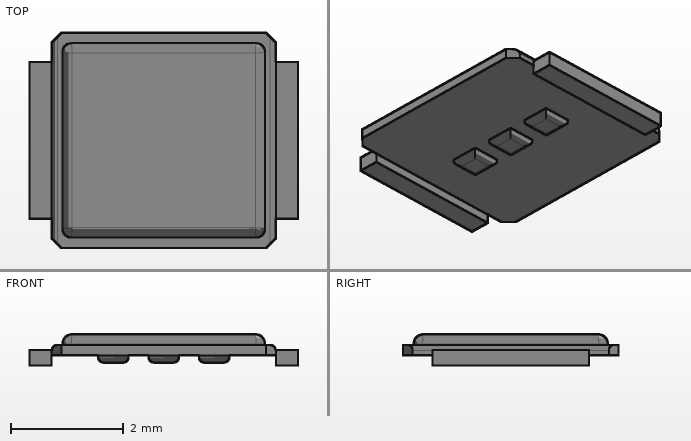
import cadquery as cq

PLATE_LENGTH = 4.0
PLATE_WIDTH = 3.85
PLATE_THICKNESS = 0.19
PLATE_BOTTOM = 0.18
PLATE_CORNER_CUT = 0.175
PLATE_EDGE_RADIUS = 0.1

COVER_MARGIN = 0.19
COVER_HEIGHT = 0.19
COVER_CORNER_RADIUS = 0.16
COVER_TOP_RADIUS = 0.175

TERMINAL_LENGTH = 0.4
TERMINAL_WIDTH = 2.8
TERMINAL_HEIGHT = 0.28

PAD_COUNT = 3
PAD_PITCH = 0.9
PAD_SIZE = 0.55
PAD_HEIGHT = 0.13
PAD_EDGE_RADIUS = 0.11

PLATE_TOP = PLATE_BOTTOM + PLATE_THICKNESS


def block(length, width, height, bottom):
    """Box centred on the Z axis, standing on the level `bottom`."""
    return (
        cq.Workplane("XY")
        .workplane(offset=bottom)
        .box(length, width, height, centered=(True, True, False))
    )


def make_plate():
    """Plate with cut corners and rounded upper edges at its two X ends."""
    plate = block(PLATE_LENGTH, PLATE_WIDTH, PLATE_THICKNESS, PLATE_BOTTOM)
    plate = plate.edges("|Z").chamfer(PLATE_CORNER_CUT)
    rounded_profile = (
        block(PLATE_LENGTH, PLATE_WIDTH, PLATE_THICKNESS, PLATE_BOTTOM)
        .edges("|Y and >Z")
        .fillet(PLATE_EDGE_RADIUS)
    )
    return plate.intersect(rounded_profile)


def make_cover():
    """Raised cover with rounded corners and a rounded top edge."""
    length = PLATE_LENGTH - 2 * COVER_MARGIN
    width = PLATE_WIDTH - 2 * COVER_MARGIN
    cover = block(length, width, COVER_HEIGHT, PLATE_TOP)
    rounded = cover.edges("|Z").fillet(COVER_CORNER_RADIUS)
    return rounded.faces(">Z").edges().fillet(COVER_TOP_RADIUS)


def make_terminal(side):
    """Terminal block against the plate end at the given X side (-1 or 1)."""
    center_x = side * (PLATE_LENGTH + TERMINAL_LENGTH) / 2
    return block(TERMINAL_LENGTH, TERMINAL_WIDTH, TERMINAL_HEIGHT, 0).translate((center_x, 0, 0))


def make_pad(center_x):
    """Square pad hanging from the plate, with its lower edges rounded."""
    pad = block(PAD_SIZE, PAD_SIZE, PAD_HEIGHT, PLATE_BOTTOM - PAD_HEIGHT)
    return pad.faces("<Z").edges().fillet(PAD_EDGE_RADIUS).translate((center_x, 0, 0))


result = make_plate().union(make_cover())

for end_side in (-1, 1):
    result = result.union(make_terminal(end_side))

for pad_index in range(PAD_COUNT):
    pad_x = (pad_index - (PAD_COUNT - 1) / 2) * PAD_PITCH
    result = result.union(make_pad(pad_x))